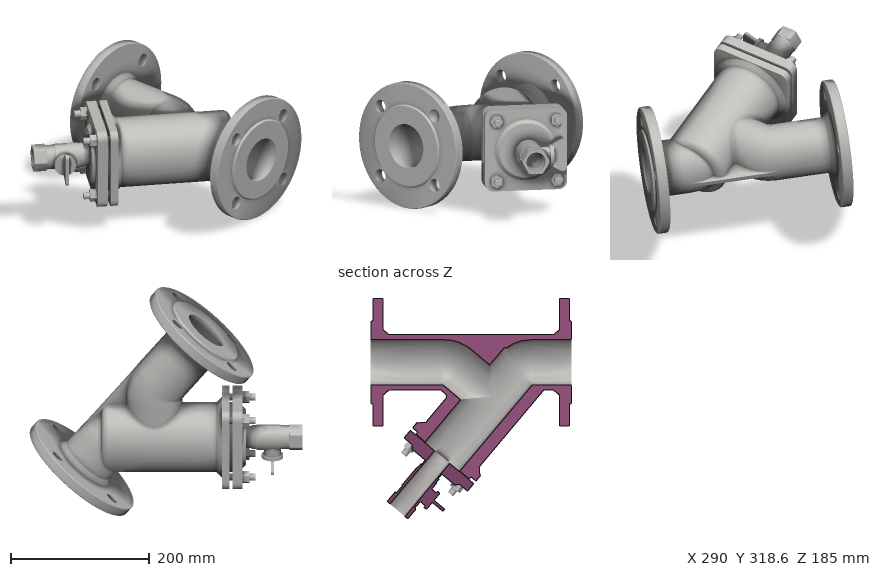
import cadquery as cq
import math


FACE_TO_FACE = 290.0
PIPE_DIA = 81.0
BORE_DIA = 65.0
BEND_RADIUS = 30.0
OUTLET_BEND_X = 87.0
INLET_VERTEX_X = -28.7

FLANGE_DIA = 185.0
FLANGE_THICKNESS = 15.0
FLANGE_CHAMFER = 1.0
RAISED_FACE_DIA = 122.0
RAISED_FACE_HEIGHT = 3.0
RAISED_FACE_CHAMFER = 2.0
NECK_DIA = 94.6
NECK_LENGTH = 8.0
BOLT_CIRCLE_DIA = 145.0
BOLT_HOLE_DIA = 19.0
BOLT_COUNT = 4

WEB_THICKNESS = 7.0
WEB_FILLET = 2.5
INLET_FILLET = 5.0
OUTLET_FILLET = 2.0

BRANCH_TILT = 40.0
BRANCH_X = 72.5
BRANCH_DIA = 101.0
CAP_HEIGHT = -10.9
CAP_WALL = 10.0
CAP_FILLET = 10.0

PLATE_SIDE = 120.0
PLATE_CORNER_RADIUS = 12.0
PLATE_THICKNESS = 11.0
PLATE_TOP = 173.6
COLLAR_DIA = 117.0
COLLAR_LENGTH = 8.0
SEAL_GAP = 4.5

COVER_THICKNESS = 14.5
COVER_BOSS_DIA = 90.0
COVER_BOSS_HEIGHT = 5.0

STUD_CIRCLE_DIA = 125.0
STUD_COUNT = 4
STUD_DIA = 10.0
STUD_TIP_DIA = 8.38
NUT_FLATS = 16.0
NUT_HEIGHT = 9.5
STUD_PROTRUSION = 18.7

VALVE_NECK_DIA = 32.0
VALVE_SHOULDER_DIA = 35.0
VALVE_BODY_DIA = 37.0
VALVE_BORE_DIA = 28.0
NECK_TOP = 205.5
SHOULDER_TOP = 212.3
VALVE_BODY_TOP = 247.0
TAIL_TOP = 259.5
VALVE_TOP = 278.6
HEX_FLATS = 35.0
HEX_EDGE_FILLET = 3.0
HEX_CHAMFER_DIA = 36.0

STEM_DIA = 25.0
STEM_HEIGHT = 235.5
STEM_LENGTH = 26.5
DISC_DIA = 31.0
DISC_THICKNESS = 5.0
LABEL_FLAT_LENGTH = 25.0
LABEL_FLAT_OFFSET = 17.2
HANDLE_THICKNESS = 4.5
HANDLE_ROOT_WIDTH = 33.0
HANDLE_TIP_WIDTH = 47.0
HANDLE_FLARE = 13.0
HANDLE_LENGTH = 20.0
HANDLE_FILLET = 5.0

SMALL = 0.01
TILT = math.radians(BRANCH_TILT)
HALF_LENGTH = FACE_TO_FACE / 2
BEND_TANGENT = BEND_RADIUS * math.tan(TILT / 2)
INLET_BEND_X = INLET_VERTEX_X - BEND_TANGENT
INLET_OFFSET = BRANCH_X - INLET_VERTEX_X
INLET_HEIGHT = INLET_OFFSET * math.sin(TILT)
INLET_RUN = INLET_OFFSET * math.cos(TILT) - BEND_TANGENT
PLATE_BOTTOM = PLATE_TOP - PLATE_THICKNESS
COLLAR_BOTTOM = PLATE_BOTTOM - COLLAR_LENGTH
COVER_BOTTOM = PLATE_TOP + SEAL_GAP
COVER_TOP = COVER_BOTTOM + COVER_THICKNESS
STUD_SPACING = STUD_CIRCLE_DIA / math.sqrt(2)

BRANCH_ACROSS = cq.Vector(math.cos(TILT), -math.sin(TILT), 0)
BRANCH_AXIS = cq.Vector(-math.sin(TILT), -math.cos(TILT), 0)


def branch_plane(height):
    """Plane square to the branch axis; its x runs across the branch and its y along Z."""
    origin = cq.Vector(BRANCH_X, 0, 0) + BRANCH_AXIS * height
    return cq.Workplane(cq.Plane(origin, BRANCH_ACROSS, BRANCH_AXIS))


def across_plane(height, offset):
    """Plane facing across the branch; its x runs along Z and its y along the branch axis."""
    origin = cq.Vector(BRANCH_X, 0, 0) + BRANCH_AXIS * height + BRANCH_ACROSS * offset
    return cq.Workplane(cq.Plane(origin, (0, 0, 1), BRANCH_ACROSS))


def branch_disc(diameter, bottom, top):
    return branch_plane(bottom).circle(diameter / 2).extrude(top - bottom)


def branch_cone(bottom_dia, top_dia, bottom, top):
    height = top - bottom
    cone = cq.Solid.makeCone(
        bottom_dia / 2, top_dia / 2, height,
        cq.Vector(BRANCH_X, 0, 0) + BRANCH_AXIS * bottom, BRANCH_AXIS,
    )
    return cq.Workplane(obj=cone)


def run_cylinder(diameter, x_start, x_end):
    return cq.Workplane("YZ", origin=(x_start, 0, 0)).circle(diameter / 2).extrude(x_end - x_start)


def pipe_bend(diameter, x, direction):
    """Bend that starts at x and turns towards -Y. The bend axis lies inside the pipe,
    so the swept section is the part of the circle outside that axis."""
    radius = diameter / 2
    half_chord = math.sqrt(radius ** 2 - BEND_RADIUS ** 2)
    return (
        cq.Workplane("YZ", origin=(x, 0, 0))
        .moveTo(-BEND_RADIUS, half_chord)
        .threePointArc((radius, 0), (-BEND_RADIUS, -half_chord))
        .close()
        .revolve(
            BRANCH_TILT,
            (-BEND_RADIUS, 0),
            (-BEND_RADIUS, -direction),
        )
    )


def pipe_bends(diameter):
    """Both bends, and the inlet leg that continues square to the branch up to its axis."""
    inlet_leg = across_plane(INLET_HEIGHT, -INLET_RUN).circle(diameter / 2).extrude(INLET_RUN)
    return (
        pipe_bend(diameter, INLET_BEND_X, 1)
        .union(inlet_leg)
        .union(pipe_bend(diameter, OUTLET_BEND_X, -1))
    )


def straight_pipes(diameter):
    inlet = run_cylinder(diameter, -HALF_LENGTH, INLET_BEND_X)
    return inlet.union(run_cylinder(diameter, OUTLET_BEND_X, HALF_LENGTH))


def pipe_flange():
    """Flange of the inlet end, with its raised face at -X and its neck at +X."""
    back_x = RAISED_FACE_HEIGHT + FLANGE_THICKNESS
    raised_radius = RAISED_FACE_DIA / 2
    flange_radius = FLANGE_DIA / 2
    return (
        cq.Workplane("XY", origin=(-HALF_LENGTH, 0, 0))
        .moveTo(0, 0)
        .lineTo(0, raised_radius - RAISED_FACE_CHAMFER)
        .lineTo(RAISED_FACE_HEIGHT, raised_radius)
        .lineTo(RAISED_FACE_HEIGHT, flange_radius - FLANGE_CHAMFER)
        .lineTo(RAISED_FACE_HEIGHT + FLANGE_CHAMFER, flange_radius)
        .lineTo(back_x - FLANGE_CHAMFER, flange_radius)
        .lineTo(back_x, flange_radius - FLANGE_CHAMFER)
        .lineTo(back_x, NECK_DIA / 2)
        .lineTo(back_x + NECK_LENGTH, PIPE_DIA / 2)
        .lineTo(back_x + NECK_LENGTH, 0)
        .close()
        .revolve(360, (0, 0), (1, 0))
    )


def flange_bolt_holes():
    return (
        cq.Workplane("YZ", origin=(-HALF_LENGTH, 0, 0))
        .polarArray(BOLT_CIRCLE_DIA / 2, 180 / BOLT_COUNT, 360, BOLT_COUNT)
        .circle(BOLT_HOLE_DIA / 2)
        .extrude(RAISED_FACE_HEIGHT + FLANGE_THICKNESS)
    )


def square_plate(bottom, thickness):
    return (
        branch_plane(bottom)
        .rect(PLATE_SIDE, PLATE_SIDE)
        .extrude(thickness)
        .edges(cq.selectors.ParallelDirSelector(BRANCH_AXIS))
        .fillet(PLATE_CORNER_RADIUS)
    )


def stud_holes(bottom, top):
    return (
        branch_plane(bottom)
        .rect(STUD_SPACING, STUD_SPACING, forConstruction=True)
        .vertices()
        .circle(STUD_DIA / 2)
        .extrude(top - bottom)
    )


def branch_barrel():
    barrel = branch_disc(BRANCH_DIA, CAP_HEIGHT, COVER_BOTTOM)
    return barrel.faces(cq.selectors.DirectionMinMaxSelector(BRANCH_AXIS, False)).edges().fillet(CAP_FILLET)


def is_inlet_seam(edge):
    return edge.Center().x < BRANCH_X / 2


def is_outlet_seam(edge):
    return edge.BoundingBox().xmin > BRANCH_X / 2


def is_web_seam(edge):
    """Edge that lies in a side of the web and runs along the pipe or the branch."""
    box = edge.BoundingBox()
    in_web_side = box.zlen < SMALL and abs(abs(box.zmin) - WEB_THICKNESS / 2) < SMALL
    return in_web_side and box.xlen > SMALL and box.ymin < PIPE_DIA / 2 - SMALL


def branch_with_bends():
    """Branch barrel, bends and web, with their seams rounded. The web starts too deep, so that
    its fillets run past the pipe, and is then cut flush with the back of the pipe."""
    body = pipe_bends(PIPE_DIA).union(branch_barrel())
    body = body.edges("%BSPLINE").filter(is_inlet_seam).fillet(INLET_FILLET)
    body = body.edges("%BSPLINE").filter(is_outlet_seam).fillet(OUTLET_FILLET)

    web_length = OUTLET_BEND_X - INLET_BEND_X
    start = (INLET_BEND_X, 0, -WEB_THICKNESS / 2)
    web = (
        cq.Workplane("XY", origin=start)
        .rect(web_length, PIPE_DIA, centered=False)
        .extrude(WEB_THICKNESS)
    )
    body = body.union(web).edges().filter(is_web_seam).fillet(WEB_FILLET)

    surplus = (
        cq.Workplane("XY", origin=(INLET_BEND_X, PIPE_DIA / 2, -PIPE_DIA / 2))
        .rect(web_length, PIPE_DIA, centered=False)
        .extrude(PIPE_DIA)
    )
    return body.cut(surplus)


def build_housing():
    flange = pipe_flange()
    body = (
        branch_with_bends()
        .union(straight_pipes(PIPE_DIA))
        .union(flange)
        .union(flange.mirror("YZ"))
        .union(branch_cone(BRANCH_DIA, COLLAR_DIA, COLLAR_BOTTOM, PLATE_BOTTOM))
        .union(square_plate(PLATE_BOTTOM, PLATE_THICKNESS))
    )
    bolt_holes = flange_bolt_holes()
    return (
        body.cut(pipe_bends(BORE_DIA).union(straight_pipes(BORE_DIA)))
        .cut(branch_disc(BORE_DIA, CAP_HEIGHT + CAP_WALL, COVER_BOTTOM))
        .cut(bolt_holes)
        .cut(bolt_holes.mirror("YZ"))
        .cut(stud_holes(PLATE_BOTTOM, PLATE_TOP))
    )


def hex_tail():
    height = VALVE_TOP - TAIL_TOP
    corner_dia = HEX_FLATS / math.cos(math.pi / 6)
    prism = (
        branch_plane(TAIL_TOP)
        .polygon(6, corner_dia)
        .extrude(height)
        .edges(cq.selectors.ParallelDirSelector(BRANCH_AXIS))
        .fillet(HEX_EDGE_FILLET)
    )
    slope = math.tan(math.pi / 6)
    widest_dia = HEX_CHAMFER_DIA + 2 * height / slope
    return prism.intersect(branch_cone(HEX_CHAMFER_DIA, widest_dia, TAIL_TOP, VALVE_TOP))


def label_flat():
    """Block that cuts a flat on the lower inlet side of the valve body."""
    turn = 180 / 6 + 180
    return (
        branch_plane(STEM_HEIGHT - LABEL_FLAT_LENGTH / 2)
        .transformed(rotate=(0, 0, turn))
        .center(LABEL_FLAT_OFFSET + VALVE_BODY_DIA / 2, 0)
        .rect(VALVE_BODY_DIA, VALVE_BODY_DIA)
        .extrude(LABEL_FLAT_LENGTH)
    )


def handle():
    start = STEM_LENGTH + DISC_THICKNESS
    root = HANDLE_ROOT_WIDTH / 2
    tip = HANDLE_TIP_WIDTH / 2
    origin = (
        cq.Vector(BRANCH_X, 0, 0)
        + BRANCH_AXIS * (STEM_HEIGHT - HANDLE_THICKNESS / 2)
        + BRANCH_ACROSS * start
    )
    return (
        cq.Workplane(cq.Plane(origin, BRANCH_ACROSS, BRANCH_AXIS))
        .polyline([
            (0, -root), (HANDLE_FLARE, -tip), (HANDLE_LENGTH, -tip),
            (HANDLE_LENGTH, tip), (HANDLE_FLARE, tip), (0, root),
        ])
        .close()
        .extrude(HANDLE_THICKNESS)
        .edges(cq.selectors.ParallelDirSelector(BRANCH_AXIS))
        .edges(cq.selectors.DirectionMinMaxSelector(BRANCH_ACROSS, True))
        .fillet(HANDLE_FILLET)
    )


def build_cover():
    boss_top = COVER_TOP + COVER_BOSS_HEIGHT
    cover = square_plate(COVER_BOTTOM, COVER_THICKNESS)
    cover = cover.union(
        branch_cone(COVER_BOSS_DIA, COVER_BOSS_DIA - 2 * COVER_BOSS_HEIGHT, COVER_TOP, boss_top)
    )
    cover = cover.cut(stud_holes(COVER_BOTTOM, COVER_TOP))

    valve = (
        branch_disc(VALVE_NECK_DIA, boss_top, NECK_TOP)
        .union(branch_disc(VALVE_SHOULDER_DIA, NECK_TOP, SHOULDER_TOP))
        .union(branch_disc(VALVE_BODY_DIA, SHOULDER_TOP, VALVE_BODY_TOP))
        .cut(label_flat())
        .union(branch_disc(VALVE_SHOULDER_DIA, VALVE_BODY_TOP, TAIL_TOP))
        .union(hex_tail())
    )
    stem = across_plane(STEM_HEIGHT, 0).circle(STEM_DIA / 2).extrude(STEM_LENGTH)
    disc = across_plane(STEM_HEIGHT, STEM_LENGTH).circle(DISC_DIA / 2).extrude(DISC_THICKNESS)
    cover = cover.union(valve).union(stem).union(disc).union(handle())
    return cover.cut(branch_disc(VALVE_BORE_DIA, COVER_BOTTOM, VALVE_TOP))


def build_stud(turn):
    """One stud with its nut, turned about the branch axis by the given angle."""
    stud_length = COVER_TOP + STUD_PROTRUSION - PLATE_BOTTOM
    corner = STUD_SPACING / 2
    stud = (
        branch_plane(PLATE_BOTTOM)
        .transformed(rotate=(0, 0, turn))
        .center(corner, corner)
        .circle(STUD_DIA / 2)
        .extrude(stud_length)
        .faces(cq.selectors.DirectionMinMaxSelector(BRANCH_AXIS, True))
        .chamfer((STUD_DIA - STUD_TIP_DIA) / 2)
    )
    nut = (
        branch_plane(COVER_TOP)
        .transformed(rotate=(0, 0, turn))
        .center(corner, corner)
        .transformed(rotate=(0, 0, 90))
        .polygon(6, NUT_FLATS / math.cos(math.pi / 6))
        .extrude(NUT_HEIGHT)
    )
    return stud.union(nut)


housing = build_housing()
cover = build_cover()
studs = [build_stud(360 / STUD_COUNT * index) for index in range(STUD_COUNT)]

result = cq.Compound.makeCompound([housing.val(), cover.val(), *[stud.val() for stud in studs]])